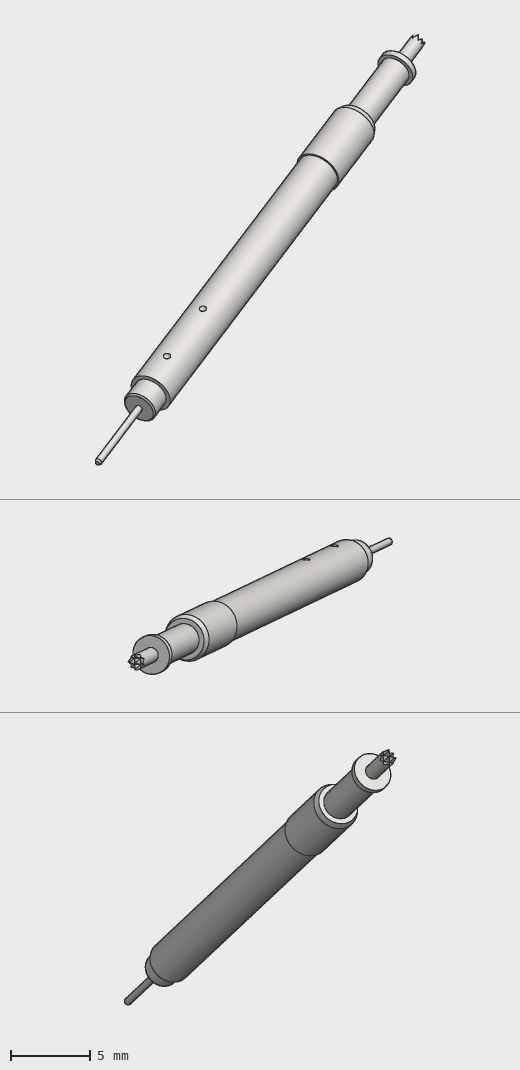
import cadquery as cq

total_length = 42.3
tip_y = total_length / 2
tail_y = -total_length / 2

tip_length = 2.62
flange_length = 0.42
stem_length = 5.1
collar_length = 5.08
barrel_length = 22.05
plug_length = 1.52

tip_diameter = 0.97
flange_diameter = 2.5
stem_diameter = 2.0
collar_diameter = 3.0
barrel_diameter = 2.8
plug_diameter = 2.25
pin_diameter = 0.45

collar_chamfer_length = 0.42
collar_chamfer_inset = 0.15
plug_chamfer = 0.105
pin_chamfer_length = 0.15
pin_chamfer_inset = 0.1

groove_width = 0.4
groove_depth = 0.4

dimple_diameter = 0.45
dimple_depth = 0.15
dimple_offsets = (2.15, 6.9)

flange_front = tip_y - tip_length
stem_front = flange_front - flange_length
collar_front = stem_front - stem_length
barrel_front = collar_front - collar_length
plug_front = barrel_front - barrel_length
pin_front = plug_front - plug_length


def cylinder(diameter, front, back):
    """Solid round section on the Y axis from front (larger Y) to back."""
    return (
        cq.Workplane("XZ", origin=(0, front, 0))
        .circle(diameter / 2)
        .extrude(front - back)
    )


def collar():
    collar_radius = collar_diameter / 2
    return (
        cq.Workplane("XY")
        .moveTo(0, barrel_front)
        .lineTo(collar_radius, barrel_front)
        .lineTo(collar_radius, collar_front - collar_chamfer_length)
        .lineTo(collar_radius - collar_chamfer_inset, collar_front)
        .lineTo(0, collar_front)
        .close()
        .revolve(360, (0, 0, 0), (0, 1, 0))
    )


def plug():
    return (
        cylinder(plug_diameter, plug_front, pin_front)
        .faces("<Y")
        .chamfer(plug_chamfer)
    )


def rear_pin():
    pin_radius = pin_diameter / 2
    return (
        cq.Workplane("XY")
        .moveTo(0, tail_y)
        .lineTo(pin_radius - pin_chamfer_inset, tail_y)
        .lineTo(pin_radius, tail_y + pin_chamfer_length)
        .lineTo(pin_radius, pin_front)
        .lineTo(0, pin_front)
        .close()
        .revolve(360, (0, 0, 0), (0, 1, 0))
    )


def tip_groove(center):
    """V groove across the tip along Z, centred at the given X."""
    return (
        cq.Workplane("XY")
        .polyline([
            (center - groove_width / 2, tip_y),
            (center + groove_width / 2, tip_y),
            (center, tip_y - groove_depth),
        ])
        .close()
        .extrude(tip_diameter, both=True)
    )


def dimple(offset):
    """Ball that sinks into the top of the barrel and leaves a round dimple."""
    rim_radius = dimple_diameter / 2
    ball_radius = (rim_radius**2 + dimple_depth**2) / (2 * dimple_depth)
    ball_height = barrel_diameter / 2 - dimple_depth + ball_radius
    return cq.Workplane("XY", origin=(0, plug_front + offset, ball_height)).sphere(ball_radius)


result = (
    cylinder(tip_diameter, tip_y, flange_front)
    .union(cylinder(flange_diameter, flange_front, stem_front))
    .union(cylinder(stem_diameter, stem_front, collar_front))
    .union(collar())
    .union(cylinder(barrel_diameter, barrel_front, plug_front))
    .union(plug())
    .union(rear_pin())
)

for side in (-1, 1):
    groove = tip_groove(side * groove_width / 2)
    result = result.cut(groove)
    result = result.cut(groove.rotate((0, 0, 0), (0, 1, 0), 90))

for offset in dimple_offsets:
    result = result.cut(dimple(offset))